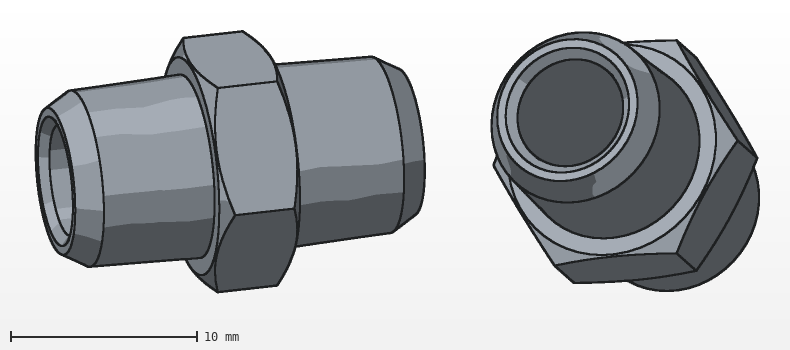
import cadquery as cq
import math

total_length = 19.5
hex_width = 4.5
half_length = total_length / 2
half_hex = hex_width / 2

across_flats = 12.0
corner_radius = across_flats / math.sqrt(3)
hex_face_radius = 5.9
hex_chamfer_angle = math.radians(30)
trim_margin = 1.0

tip_radius = 3.98
chamfer_end_radius = 4.775
tip_chamfer_angle = math.radians(30)
diameter_taper = 1 / 16
tip_chamfer_length = (chamfer_end_radius - tip_radius) / math.tan(tip_chamfer_angle)
taper_length = half_length - half_hex - tip_chamfer_length
root_radius = chamfer_end_radius + taper_length * diameter_taper / 2

bore_diameter = 6.0
bore_radius = bore_diameter / 2
mouth_depth = 0.5
mouth_radius = bore_radius + mouth_depth


def revolve_profile(points):
    """Revolve a closed (radius, y) profile about the Y axis."""
    return cq.Workplane("XY").polyline(points).close().revolve(360, (0, 0, 0), (0, 1, 0))


def make_hexagon():
    """Hexagonal prism with its corners trimmed by a cone on both faces."""
    prism = (
        cq.Workplane("XZ")
        .polygon(6, 2 * corner_radius)
        .extrude(half_hex, both=True)
    )
    trim_radius = corner_radius + trim_margin
    trim_drop = (trim_radius - hex_face_radius) * math.tan(hex_chamfer_angle)
    trim_envelope = revolve_profile([
        (0, -half_hex),
        (hex_face_radius, -half_hex),
        (trim_radius, -half_hex + trim_drop),
        (trim_radius, half_hex - trim_drop),
        (hex_face_radius, half_hex),
        (0, half_hex),
    ])
    return prism.intersect(trim_envelope)


def make_spigot(side):
    """Tapered spigot with a chamfered tip, from mid-plane to one end (side is +1 or -1)."""
    return revolve_profile([
        (0, 0),
        (root_radius, 0),
        (root_radius, side * half_hex),
        (chamfer_end_radius, side * (half_length - tip_chamfer_length)),
        (tip_radius, side * half_length),
        (0, side * half_length),
    ])


def make_bore():
    """Through bore with a countersink at each end."""
    return revolve_profile([
        (0, -half_length),
        (mouth_radius, -half_length),
        (bore_radius, -half_length + mouth_depth),
        (bore_radius, half_length - mouth_depth),
        (mouth_radius, half_length),
        (0, half_length),
    ])


body = make_hexagon()
for end_side in (-1, 1):
    body = body.union(make_spigot(end_side))

result = body.cut(make_bore())